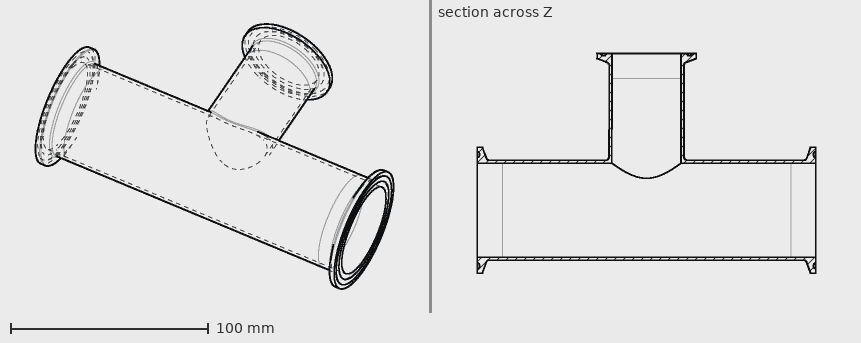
import cadquery as cq
import math

run_length = 171.5
run_outer_dia = 50.7
run_bore_dia = 47.5
branch_outer_dia = 38.0
branch_bore_dia = 34.8
branch_reach = 79.4
junction_fillet = 1.5

ferrule_length = 12.7
run_flange_dia = 64.0
run_groove_dia = 56.4
run_rim_radius = 0.5
branch_flange_dia = 50.4
branch_groove_dia = 43.5
rim_thickness = 2.7
back_angle = 20.0
neck_fillet = 1.2

groove_width = 3.0
groove_depth = 1.2

pick_margin = 0.09


def circle_at(radius, height):
    """Selector for the circular edge of this radius at this height on the Z axis."""
    def circles_within(reach):
        return cq.selectors.BoxSelector(
            (-reach, -reach, height - pick_margin),
            (reach, reach, height + pick_margin),
            boundingbox=True,
        )

    return circles_within(radius + pick_margin) - circles_within(radius - pick_margin)


def ferrule(flange_dia, neck_dia, bore_dia, groove_dia, rim_radius=0):
    """Hollow clamp ferrule with its end face on the XY plane and its neck along +Z."""
    flange_radius = flange_dia / 2
    neck_radius = neck_dia / 2
    bore_radius = bore_dia / 2
    groove_inside = (groove_dia - groove_width) / 2
    groove_outside = (groove_dia + groove_width) / 2
    back_rise = (flange_radius - neck_radius) * math.tan(math.radians(back_angle))
    neck_start = rim_thickness + back_rise
    body = (
        cq.Workplane("XZ")
        .moveTo(bore_radius, 0)
        .lineTo(groove_inside, 0)
        .threePointArc((groove_dia / 2, groove_depth), (groove_outside, 0))
        .lineTo(flange_radius, 0)
        .lineTo(flange_radius, rim_thickness)
        .lineTo(neck_radius, neck_start)
        .lineTo(neck_radius, ferrule_length)
        .lineTo(bore_radius, ferrule_length)
        .close()
        .revolve(360, (0, 0), (0, 1))
    )
    body = body.edges(circle_at(neck_radius, neck_start)).fillet(neck_fillet)
    if rim_radius > 0:
        body = body.edges(circle_at(flange_radius, rim_thickness)).fillet(rim_radius)
    return body


def run_cylinder(diameter, length):
    """Cylinder along X, centred on the origin, with its seam on the -Y side."""
    plane = cq.Plane(origin=(-length / 2, 0, 0), xDir=(0, -1, 0), normal=(1, 0, 0))
    return cq.Workplane(plane).circle(diameter / 2).extrude(length)


def branch_cylinder(diameter, length):
    """Cylinder along +Y from the run axis."""
    return cq.Workplane("XZ").circle(diameter / 2).extrude(-length)


run_tube_length = run_length - 2 * ferrule_length
branch_tube_length = branch_reach - ferrule_length
tee = run_cylinder(run_outer_dia, run_tube_length)
tee = tee.union(branch_cylinder(branch_outer_dia, branch_tube_length))
junction_zone = cq.selectors.BoxSelector(
    (-branch_outer_dia, 0, -branch_outer_dia),
    (branch_outer_dia, run_outer_dia / 2, branch_outer_dia),
)
tee = tee.edges(junction_zone).fillet(junction_fillet)
tee = tee.cut(run_cylinder(run_bore_dia, run_tube_length))
tee = tee.cut(branch_cylinder(branch_bore_dia, branch_tube_length))

run_ferrule = ferrule(run_flange_dia, run_outer_dia, run_bore_dia, run_groove_dia, run_rim_radius)
for side in (-1, 1):
    placed = run_ferrule.rotate((0, 0, 0), (0, 1, 0), -side * 90)
    tee = tee.union(placed.translate((side * run_length / 2, 0, 0)), clean=False)

branch_ferrule = ferrule(branch_flange_dia, branch_outer_dia, branch_bore_dia, branch_groove_dia)
branch_ferrule = branch_ferrule.rotate((0, 0, 0), (1, 0, 0), 90)
result = tee.union(branch_ferrule.translate((0, branch_reach, 0)), clean=False)